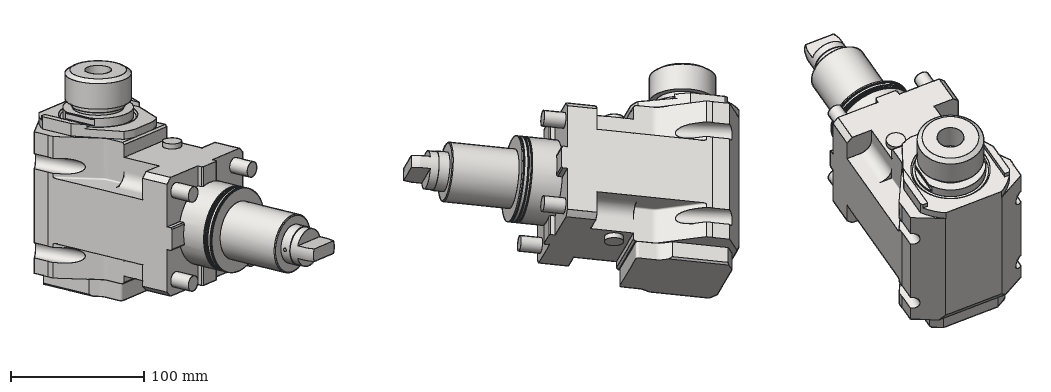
import cadquery as cq
import math


HALF_WIDTH = 47.0
HEAD_LEFT = -37.8
HEAD_RIGHT = 44.5
HEAD_TOP = 58.5
HEAD_BOTTOM = -53.5
NOSE_HALF_WIDTH = 23.8
NOSE_LENGTH = 13.0
SIDE_STEP_X = -11.5
SIDE_STEP_DEPTH = 0.2
RELIEF_START_X = -6.8
RELIEF_ANGLE = 31
RELIEF_ROUND = 9.0
RELIEF_FLOOR_ROUND = 1.2
RIB_HALF_HEIGHT = 25.8
HEAD_EDGE_CHAMFER = 1.5
NOSE_CHAMFER_RUN = 2.5
NOSE_CHAMFER_RISE = 5.5

BOLT_Y = 36.5
BOLT_Z = 35.2
BOLT_RADIUS = 6.0
BOLT_LENGTH = 16.5
GROOVE_START_X = -28.2
GROOVE_START_DEPTH = 6.5
GROOVE_TILT = 8
GROOVE_LENGTH = 60
GROOVE_OVERRUN = 10

NECK_HALF_WIDTH = 26.5
NECK_CORNER_ROUND = 9.8
FLANGE_LEFT = 77.5
FLANGE_RIGHT = 100.5
FLANGE_CORNER_RADIUS = 63.5
KEY_LENGTH = 4.5
KEY_WIDTH = 18.0
KEY_CHAMFER = 1.0
KEY_INNER_RADIUS = 30
PLUG_X = 57.0
PLUG_Y = 16.5
PLUG_RADIUS = 7.2
PLUG_HEIGHT = 4.0

PLATE_TOP = 64.8
PLATE_RADIUS = 44.5
PLATE_HALF_WIDTH = 37.8
PLATE_RIGHT = 43.0
PLATE_TAPER_START_X = 3.2
PLATE_TAPER_END = (40.2, 20.0)
LIP_TOP = 68.2
LIP_LEFT = -25.5
LIP_INNER_Y = 32.5
RECESS_RADIUS = 29.8
RECESS_DEPTH = 1.5
RECESS_CHAMFER = 1.2

FOOT_BOTTOM = -67.2
FOOT_LEFT = -32.5
FOOT_RIGHT = 42.2
FOOT_HALF_WIDTH = 32.0
FOOT_NOSE_HALF_WIDTH = 23.0
FOOT_NOSE_LENGTH = 5.2
FOOT_TAPER_START_X = 15.8
FOOT_TAIL_HALF_WIDTH = 26.8
FOOT_TAIL_ROUND = 2.2
FOOT_EDGE_CHAMFER = 1.5

COLLAR_RADIUS = 26.5
COLLAR_TOP = 70.5
COLLAR_RIM_HEIGHT = 1.0
COLLAR_RIM_HALF_WIDTH = 24.0
COLLAR_FLAT_HALF_WIDTH = 22.8
COLLAR_NECK_RADIUS = 19.2
COLLAR_NECK_TOP = 72.8
NUT_NECK_RADIUS = 20.5
NUT_RADIUS = 25.0
NUT_BOTTOM = 77.2
NUT_TOP = 100.0
NUT_BEVEL_RUN = 3.8
NUT_BEVEL_RISE = 2.5
NUT_BORE_RADIUS = 10.0
NUT_BORE_DEPTH = 20.0

PILOT_RADIUS = 32.5
PILOT_RIGHT = 131.8
RING_GROOVES = ((123.8, 1.0), (126.2, 1.0), (129.8, 0.8))
RING_GROOVE_DEPTH = 0.8
SHANK_RADIUS = 22.5
SHANK_RIGHT = 183.2
SHANK_CHAMFER = 0.8
JOURNAL_RADIUS = 15.0
JOURNAL_RIGHT = 191.5
TANG_RADIUS = 14.5
TANG_SHOULDER_X = 198.0
TANG_RIGHT = 212.2
TANG_THICKNESS = 10.0
TANG_BEVEL_LENGTH = 6.2
TANG_BEVEL_DEPTH = 1.5
PIN_HOLE_X = 187.0
PIN_HOLE_RADIUS = 1.2
PIN_HOLE_DEPTH = 3.8

SIDES = (-1, 1)
BEND_SEARCH = 2.5


def box(x_min, x_max, y_min, y_max, z_min, z_max):
    return cq.Workplane("XY").box(
        x_max - x_min, y_max - y_min, z_max - z_min, centered=False
    ).translate((x_min, y_min, z_min))


def prism(points, bottom, top):
    """Upright prism on a plan outline given by its +Y half, mirrored about the X axis."""
    mirrored = [(x, -y) for x, y in reversed(points)]
    return cq.Workplane("XY").workplane(offset=bottom).polyline(points + mirrored).close().extrude(top - bottom)


def x_cylinder(x_min, x_max, radius, y=0, z=0):
    return cq.Workplane("YZ", origin=(x_min, y, z)).circle(radius).extrude(x_max - x_min)


def z_cylinder(bottom, top, radius, x=0, y=0):
    return cq.Workplane("XY", origin=(x, y, bottom)).circle(radius).extrude(top - bottom)


def taper_end_x(start_x, start_y, end_y):
    """X where a taper at the relief angle comes down to end_y."""
    return start_x + (start_y - end_y) / math.tan(math.radians(RELIEF_ANGLE))


def near_bend(bend_x, bottom, top):
    """Selector for the edges close to the X position of a taper's inner end."""
    return cq.selectors.BoxSelector(
        (bend_x - BEND_SEARCH, -HALF_WIDTH, bottom), (bend_x + BEND_SEARCH, HALF_WIDTH, top)
    )


def side_relief():
    """Space beside the narrow rear part of the head, above the rib and on the +Y side."""
    bend_x = taper_end_x(RELIEF_START_X, HALF_WIDTH, NECK_HALF_WIDTH)
    outline = [
        (RELIEF_START_X, HALF_WIDTH),
        (bend_x, NECK_HALF_WIDTH),
        (HEAD_RIGHT, NECK_HALF_WIDTH),
        (HEAD_RIGHT, HALF_WIDTH),
    ]
    relief = (
        cq.Workplane("XY").workplane(offset=RIB_HALF_HEIGHT)
        .polyline(outline).close().extrude(HEAD_TOP - RIB_HALF_HEIGHT)
    )
    relief = relief.edges("|Z").edges(near_bend(bend_x, RIB_HALF_HEIGHT, HEAD_TOP)).fillet(RELIEF_ROUND)
    wall_foot = relief.faces("<Z").edges("not(>X or >Y)")
    return wall_foot.fillet(RELIEF_FLOOR_ROUND)


def bolt_groove():
    """Round-bottomed groove on the +Y side that dips inward towards +X."""
    slot = (
        cq.Workplane("YZ").circle(BOLT_RADIUS).extrude(GROOVE_LENGTH)
        .union(box(0, GROOVE_LENGTH, 0, 2 * BOLT_RADIUS, -BOLT_RADIUS, BOLT_RADIUS))
        .translate((-GROOVE_OVERRUN, 0, 0))
        .rotate((0, 0, 0), (0, 0, 1), -GROOVE_TILT)
    )
    axis_y = HALF_WIDTH - GROOVE_START_DEPTH + BOLT_RADIUS
    return slot.translate((GROOVE_START_X, axis_y, BOLT_Z))


def in_four_corners(feature):
    """The feature plus its mirror images about the XZ and XY planes."""
    pair = feature.union(feature.mirror("XZ"))
    return pair.union(pair.mirror("XY"))


def head():
    outline = [
        (HEAD_LEFT, NOSE_HALF_WIDTH),
        (HEAD_LEFT + NOSE_LENGTH, HALF_WIDTH - SIDE_STEP_DEPTH),
        (SIDE_STEP_X, HALF_WIDTH - SIDE_STEP_DEPTH),
        (SIDE_STEP_X, HALF_WIDTH),
        (HEAD_RIGHT, HALF_WIDTH),
    ]
    body = prism(outline, HEAD_BOTTOM, HEAD_TOP)
    body = body.cut(in_four_corners(side_relief()))
    body = body.faces(">X").edges("|Y and (>Z or <Z)").chamfer(HEAD_EDGE_CHAMFER)
    nose_bevel = (
        cq.Workplane("XZ").moveTo(HEAD_LEFT, HEAD_BOTTOM)
        .lineTo(HEAD_LEFT + NOSE_CHAMFER_RUN, HEAD_BOTTOM)
        .lineTo(HEAD_LEFT, HEAD_BOTTOM + NOSE_CHAMFER_RISE)
        .close().extrude(HALF_WIDTH, both=True)
    )
    return body.cut(nose_bevel)


def neck():
    block = box(HEAD_RIGHT, FLANGE_LEFT, -HALF_WIDTH, HALF_WIDTH, -HALF_WIDTH, HALF_WIDTH)
    corner = box(HEAD_RIGHT, FLANGE_LEFT, NECK_HALF_WIDTH, HALF_WIDTH, RIB_HALF_HEIGHT, HALF_WIDTH)
    corner = corner.edges("|X and <Y and <Z").fillet(NECK_CORNER_ROUND)
    return block.cut(in_four_corners(corner))


def flange():
    plate = box(FLANGE_LEFT, FLANGE_RIGHT, -HALF_WIDTH, HALF_WIDTH, -HALF_WIDTH, HALF_WIDTH)
    plate = plate.intersect(x_cylinder(FLANGE_LEFT, FLANGE_RIGHT, FLANGE_CORNER_RADIUS))
    key = box(
        FLANGE_RIGHT, FLANGE_RIGHT + KEY_LENGTH, -KEY_WIDTH / 2, KEY_WIDTH / 2, KEY_INNER_RADIUS, HALF_WIDTH
    )
    key = key.faces(">X").edges("|Z").chamfer(KEY_CHAMFER)
    for quarter in range(4):
        plate = plate.union(key.rotate((0, 0, 0), (1, 0, 0), 90 * quarter))
    for y in (-BOLT_Y, BOLT_Y):
        for z in (-BOLT_Z, BOLT_Z):
            plate = plate.union(x_cylinder(FLANGE_RIGHT, FLANGE_RIGHT + BOLT_LENGTH, BOLT_RADIUS, y, z))
    return plate


def plugs():
    reach = HALF_WIDTH + PLUG_HEIGHT
    return z_cylinder(-reach, reach, PLUG_RADIUS, PLUG_X, PLUG_Y)


def cover_plate():
    taper_x, taper_y = PLATE_TAPER_END
    slope = (PLATE_HALF_WIDTH - taper_y) / (taper_x - PLATE_TAPER_START_X)
    outline = [
        (HEAD_LEFT, PLATE_HALF_WIDTH),
        (PLATE_TAPER_START_X, PLATE_HALF_WIDTH),
        (PLATE_RIGHT, taper_y - slope * (PLATE_RIGHT - taper_x)),
    ]
    blank = prism(outline, HEAD_TOP, LIP_TOP).intersect(z_cylinder(HEAD_TOP, LIP_TOP, PLATE_RADIUS))
    above = dict(z_min=PLATE_TOP, z_max=LIP_TOP)
    blank = blank.cut(box(HEAD_LEFT, LIP_LEFT, -HALF_WIDTH, HALF_WIDTH, **above))
    blank = blank.cut(box(LIP_LEFT, HEAD_RIGHT, -LIP_INNER_Y, LIP_INNER_Y, **above))
    recess = z_cylinder(PLATE_TOP - RECESS_DEPTH, PLATE_TOP, RECESS_RADIUS)
    return blank.cut(recess.faces("<Z").chamfer(RECESS_CHAMFER))


def foot():
    bend_x = taper_end_x(FOOT_TAPER_START_X, FOOT_HALF_WIDTH, FOOT_TAIL_HALF_WIDTH)
    outline = [
        (FOOT_LEFT, FOOT_NOSE_HALF_WIDTH),
        (FOOT_LEFT + FOOT_NOSE_LENGTH, FOOT_HALF_WIDTH),
        (FOOT_TAPER_START_X, FOOT_HALF_WIDTH),
        (bend_x, FOOT_TAIL_HALF_WIDTH),
        (FOOT_RIGHT, FOOT_TAIL_HALF_WIDTH),
    ]
    block = prism(outline, FOOT_BOTTOM, HEAD_BOTTOM)
    block = block.edges("|Z and >X").fillet(FOOT_TAIL_ROUND)
    block = block.edges("|Z").edges(near_bend(bend_x, FOOT_BOTTOM, HEAD_BOTTOM)).fillet(RELIEF_ROUND)
    return block.faces("<Z").edges("<Y or >Y").chamfer(FOOT_EDGE_CHAMFER)


def collar_and_nut():
    collar = z_cylinder(PLATE_TOP - RECESS_DEPTH, COLLAR_TOP, COLLAR_RADIUS)
    rim_bottom = COLLAR_TOP - COLLAR_RIM_HEIGHT
    for side in SIDES:
        for half_width, bottom, top in (
            (COLLAR_RIM_HALF_WIDTH, rim_bottom, COLLAR_TOP),
            (COLLAR_FLAT_HALF_WIDTH, PLATE_TOP, rim_bottom),
        ):
            near, far = sorted((side * half_width, side * COLLAR_RADIUS))
            collar = collar.cut(box(-COLLAR_RADIUS, COLLAR_RADIUS, near, far, bottom, top))
    profile = [
        (0, COLLAR_TOP),
        (COLLAR_NECK_RADIUS, COLLAR_TOP),
        (COLLAR_NECK_RADIUS, COLLAR_NECK_TOP),
        (NUT_NECK_RADIUS, COLLAR_NECK_TOP),
        (NUT_NECK_RADIUS, NUT_BOTTOM),
        (NUT_RADIUS, NUT_BOTTOM),
        (NUT_RADIUS, NUT_TOP - NUT_BEVEL_RISE),
        (NUT_RADIUS - NUT_BEVEL_RUN, NUT_TOP),
        (0, NUT_TOP),
    ]
    nut = cq.Workplane("XZ").polyline(profile).close().revolve(360, (0, 0), (0, 1))
    nut = nut.cut(z_cylinder(NUT_TOP - NUT_BORE_DEPTH, NUT_TOP, NUT_BORE_RADIUS))
    return collar.union(nut)


def drive_shaft():
    pilot = x_cylinder(FLANGE_RIGHT, PILOT_RIGHT, PILOT_RADIUS)
    for left, width in RING_GROOVES:
        ring = x_cylinder(left, left + width, PILOT_RADIUS)
        pilot = pilot.cut(ring.cut(x_cylinder(left, left + width, PILOT_RADIUS - RING_GROOVE_DEPTH)))
    shank = x_cylinder(PILOT_RIGHT, SHANK_RIGHT, SHANK_RADIUS).faces(">X").chamfer(SHANK_CHAMFER)
    journal = x_cylinder(SHANK_RIGHT, JOURNAL_RIGHT, JOURNAL_RADIUS)
    pin_hole = cq.Workplane("XZ", origin=(PIN_HOLE_X, -JOURNAL_RADIUS + PIN_HOLE_DEPTH, 0))
    journal = journal.cut(pin_hole.circle(PIN_HOLE_RADIUS).extrude(PIN_HOLE_DEPTH))

    tang = x_cylinder(JOURNAL_RIGHT, TANG_RIGHT, TANG_RADIUS)
    tang = tang.faces(">X").chamfer(TANG_BEVEL_LENGTH, TANG_BEVEL_DEPTH)
    for side in SIDES:
        near, far = sorted((side * TANG_THICKNESS / 2, side * TANG_RADIUS))
        tang = tang.cut(box(TANG_SHOULDER_X, TANG_RIGHT, -TANG_RADIUS, TANG_RADIUS, near, far))
    return pilot.union(shank).union(journal).union(tang)


housing = head().union(neck()).cut(in_four_corners(bolt_groove()))
result = housing.union(flange())
for component in (plugs(), cover_plate(), foot(), collar_and_nut(), drive_shaft()):
    result = result.union(component)